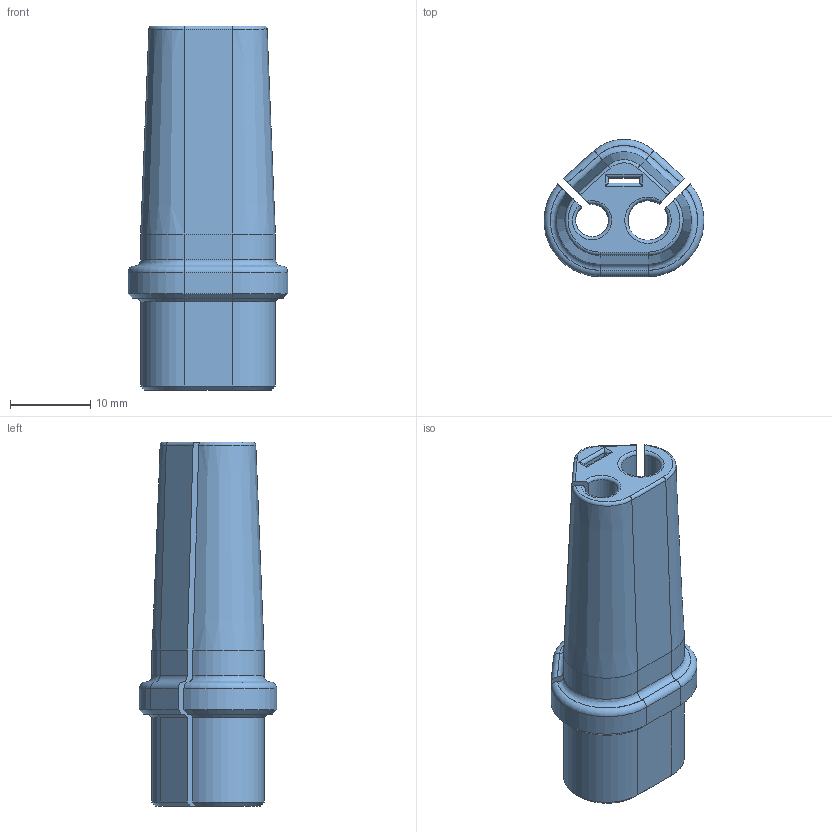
import cadquery as cq
import math

TOTAL_HEIGHT = 45.5
TAPER_START = 19.5
COLLAR_BOTTOM = 11.5
COLLAR_TOP = 15.5

LOBE_X = 3.0
LOBE_RADIUS = 5.42
NOSE_Y = 4.58
NOSE_RADIUS = 4.02
COLLAR_OVERHANG = 1.58
TAPER_INSET = 1.04

FOOT_CHAMFER = 0.5
COLLAR_BOTTOM_CHAMFER = 0.55
COLLAR_ROOT_CHAMFER = 0.45
COLLAR_FILLET = 0.785
TOP_FILLET = 0.4

SMALL_BORE_X = -4.0
SMALL_BORE_RADIUS = 2.05
LARGE_BORE_X = 3.0
LARGE_BORE_RADIUS = 2.5

WINDOW_Y = 5.0
WINDOW_LENGTH = 3.8
WINDOW_WIDTH = 0.7

MOUTH_FILLET = 0.4

SLIT_WIDTH = 1.0
SLIT_ANGLE = 45.0
SLIT_LENGTH = 2 * (LOBE_RADIUS + COLLAR_OVERHANG)

CENTRE_DISTANCE = math.hypot(LOBE_X, NOSE_Y)
FLANK_ANGLE = math.atan2(NOSE_Y, -LOBE_X) - math.acos((LOBE_RADIUS - NOSE_RADIUS) / CENTRE_DISTANCE)

HEIGHT_TOLERANCE = 0.01


def arc_point(centre_x, centre_y, radius, angle):
    """Point on a circle at an angle in radians."""
    return (centre_x + radius * math.cos(angle), centre_y + radius * math.sin(angle))


def mirrored(point):
    """Point reflected across the YZ plane."""
    return (-point[0], point[1])


def outline(workplane, offset):
    """Body outline grown outward by an offset."""
    lobe_radius = LOBE_RADIUS + offset
    nose_radius = NOSE_RADIUS + offset
    base_angle = -math.pi / 2
    lobe_start = arc_point(LOBE_X, 0, lobe_radius, base_angle)
    lobe_middle = arc_point(LOBE_X, 0, lobe_radius, (base_angle + FLANK_ANGLE) / 2)
    lobe_end = arc_point(LOBE_X, 0, lobe_radius, FLANK_ANGLE)
    nose_start = arc_point(0, NOSE_Y, nose_radius, FLANK_ANGLE)
    nose_tip = (0, NOSE_Y + nose_radius)
    return (
        workplane.moveTo(*mirrored(lobe_start))
        .lineTo(*lobe_start)
        .threePointArc(lobe_middle, lobe_end)
        .lineTo(*nose_start)
        .threePointArc(nose_tip, mirrored(nose_start))
        .lineTo(*mirrored(lobe_end))
        .threePointArc(mirrored(lobe_middle), mirrored(lobe_start))
        .close()
    )


def stage(bottom, top, bottom_offset, top_offset):
    """Solid between two heights, with straight sides from one outline offset to the other."""
    lower = outline(cq.Workplane("XY").workplane(offset=bottom), bottom_offset)
    return outline(lower.workplane(offset=top - bottom), top_offset).loft(ruled=True)


def edges_at(height):
    """Selector for the edges lying in one horizontal plane."""
    reach = LOBE_X + LOBE_RADIUS + COLLAR_OVERHANG + NOSE_Y
    return cq.selectors.BoxSelector(
        (-reach, -reach, height - HEIGHT_TOLERANCE),
        (reach, reach, height + HEIGHT_TOLERANCE),
    )


def make_shank():
    """Lower straight shank with a chamfered foot."""
    foot = stage(0, FOOT_CHAMFER, -FOOT_CHAMFER, 0)
    return foot.union(stage(FOOT_CHAMFER, TAPER_START, 0, 0))


def add_collar(body):
    """Collar with chamfers below, and a rim round running into a root round above."""
    rim_bottom = COLLAR_BOTTOM + COLLAR_BOTTOM_CHAMFER
    root = stage(COLLAR_BOTTOM - COLLAR_ROOT_CHAMFER, COLLAR_BOTTOM, 0, COLLAR_ROOT_CHAMFER)
    underside = stage(
        COLLAR_BOTTOM, rim_bottom, COLLAR_OVERHANG - COLLAR_BOTTOM_CHAMFER, COLLAR_OVERHANG
    )
    rim = stage(rim_bottom, COLLAR_TOP, COLLAR_OVERHANG, COLLAR_OVERHANG)
    body = body.union(rim)
    body = body.edges(edges_at(COLLAR_TOP)).fillet(COLLAR_FILLET)
    return body.union(underside).union(root)


def make_grip():
    """Tapered upper part with a rounded top edge."""
    grip = stage(TAPER_START, TOTAL_HEIGHT, 0, -TAPER_INSET)
    return grip.faces(">Z").edges().fillet(TOP_FILLET)


def cut_bore(body, x, radius):
    """Full-height round bore."""
    return body.cut(cq.Workplane("XY").center(x, 0).circle(radius).extrude(TOTAL_HEIGHT))


def cut_window(body):
    """Full-height rectangular window."""
    window = cq.Workplane("XY").center(0, WINDOW_Y).rect(WINDOW_LENGTH, WINDOW_WIDTH).extrude(TOTAL_HEIGHT)
    return body.cut(window)


def round_mouths(body):
    """Round the top edges of the openings, which are the inner wires of the top face."""
    top_face = body.faces(">Z").val()
    mouth_edges = [edge for wire in top_face.innerWires() for edge in wire.Edges()]
    return body.newObject(mouth_edges).fillet(MOUTH_FILLET)


def cut_slit(body, side):
    """Full-height slit from a lobe centre outward; side is +1 or -1 along X."""
    angle = SLIT_ANGLE if side > 0 else 180 - SLIT_ANGLE
    slit = (
        cq.Workplane("XY")
        .rect(SLIT_LENGTH, SLIT_WIDTH)
        .extrude(TOTAL_HEIGHT)
        .translate((SLIT_LENGTH / 2, 0, 0))
        .rotate((0, 0, 0), (0, 0, 1), angle)
        .translate((side * LOBE_X, 0, 0))
    )
    return body.cut(slit)


result = add_collar(make_shank()).union(make_grip())
result = cut_bore(result, SMALL_BORE_X, SMALL_BORE_RADIUS)
result = cut_bore(result, LARGE_BORE_X, LARGE_BORE_RADIUS)
result = round_mouths(cut_window(result))
for side in (-1, 1):
    result = cut_slit(result, side)